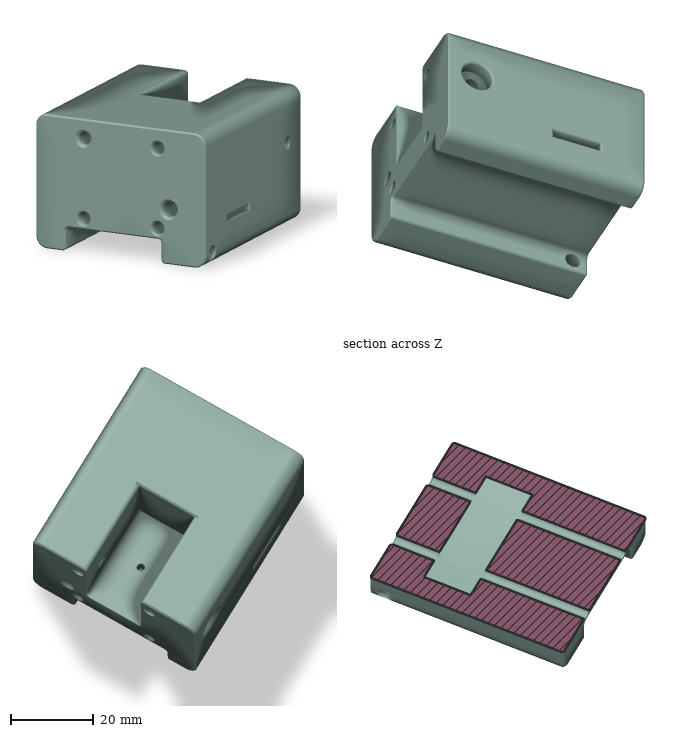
import cadquery as cq

WIDTH = 46.0
LENGTH = 52.3
HEIGHT = 33.8
CORNER_RADIUS = 3.05
EDGE_CHAMFER = 0.4

RAIL_WIDTH = 26.0
RAIL_DEPTH = 6.0
RAIL_CENTER_X = -2.0
RAIL_ROOF_RADIUS = 1.0
RAIL_MOUTH_RADIUS = 0.8

HINGE_WIDTH = 15.5
HINGE_LENGTH = 25.35
HINGE_DEPTH = 20.0
HINGE_RADIUS = 0.95
HINGE_END_CHAMFER = 0.4

PIN_Y = LENGTH / 2 - 7.75
PIN_Z = 20.9
PIN_DIAMETER = 3.4
PIN_RIM_RADIUS = 0.5
HEAD_DIAMETER = 8.0
HEAD_DEPTH = 3.5
HEAD_RIM_RADIUS = 0.65

FLOOR_HOLE_DIAMETER = 2.0
FLOOR_HOLE_Y = 13.25
FLOOR_HOLE_DEPTH = 4.0

PATTERN_PITCH = 20.1
PATTERN_CENTER_Z = 18.8
PATTERN_DIAMETER = 3.2
PATTERN_CHAMFER = 0.4
WIDE_CHAMFER = 0.7
LARGE_X = 13.1
LARGE_Z = 13.75
LARGE_DIAMETER = 4.0
LARGE_CHAMFER = 0.65

CLAMP_Y = -22.2
CLAMP_Z = 3.15
CLAMP_DIAMETER = 4.0

STRAP_WIDTH = 12.5
STRAP_THICKNESS = 2.1
STRAP_SAG = 2.2
STRAP_Y = -8.1
STRAP_Z = 10.0
STRAP_RIM_RADIUS = 0.65

LEFT = -WIDTH / 2
RIGHT = WIDTH / 2
FRONT = -LENGTH / 2
REAR = LENGTH / 2
SLOT_FLOOR_Z = HEIGHT - HINGE_DEPTH
HINGE_END_Y = REAR - HINGE_LENGTH


def box(x_range, y_range, z_range):
    """Box spanning the given ranges."""
    (x0, x1), (y0, y1), (z0, z1) = x_range, y_range, z_range
    return cq.Workplane("XY").box(x1 - x0, y1 - y0, z1 - z0, centered=False).translate((x0, y0, z0))


def block_with_rail_channel():
    """Rounded block with the rail channel and chamfered front and rear rims."""
    block = box((LEFT, RIGHT), (FRONT, REAR), (0, HEIGHT)).edges("|Y").fillet(CORNER_RADIUS)
    rail_left = RAIL_CENTER_X - RAIL_WIDTH / 2
    rail_right = RAIL_CENTER_X + RAIL_WIDTH / 2
    block = block.cut(box((rail_left, rail_right), (FRONT, REAR), (0, RAIL_DEPTH)))
    for rail_z, radius in ((RAIL_DEPTH, RAIL_ROOF_RADIUS), (0, RAIL_MOUTH_RADIUS)):
        for rail_x in (rail_left, rail_right):
            edge = cq.selectors.NearestToPointSelector((rail_x, 0, rail_z))
            block = block.edges("|Y").edges(edge).fillet(radius)
    return block.faces("<Y or >Y").chamfer(EDGE_CHAMFER)


def hinge_slot():
    """Slot with rounded floor corners, flared side rims and a chamfered end rim."""
    half = HINGE_WIDTH / 2
    flared_half = half + HINGE_RADIUS
    middle = HINGE_RADIUS * (1 - 0.5 ** 0.5)
    profile = (
        cq.Workplane("XZ", origin=(0, REAR, 0))
        .moveTo(-flared_half, HEIGHT)
        .threePointArc((-half - middle, HEIGHT - middle), (-half, HEIGHT - HINGE_RADIUS))
        .lineTo(-half, SLOT_FLOOR_Z + HINGE_RADIUS)
        .threePointArc((-half + middle, SLOT_FLOOR_Z + middle), (-half + HINGE_RADIUS, SLOT_FLOOR_Z))
        .lineTo(half - HINGE_RADIUS, SLOT_FLOOR_Z)
        .threePointArc((half - middle, SLOT_FLOOR_Z + middle), (half, SLOT_FLOOR_Z + HINGE_RADIUS))
        .lineTo(half, HEIGHT - HINGE_RADIUS)
        .threePointArc((half + middle, HEIGHT - middle), (flared_half, HEIGHT))
        .close()
    )
    slot = profile.extrude(HINGE_LENGTH)
    end_bevel = (
        cq.Workplane("YZ", origin=(-flared_half, 0, 0))
        .moveTo(HINGE_END_Y, HEIGHT)
        .lineTo(HINGE_END_Y - HINGE_END_CHAMFER, HEIGHT)
        .lineTo(HINGE_END_Y, HEIGHT - HINGE_END_CHAMFER)
        .close()
        .extrude(2 * flared_half)
    )
    return slot.union(end_bevel)


def cross_bore(y, z, diameter, x_start, x_end):
    """Cylinder along X between two positions."""
    return cq.Workplane("YZ", origin=(x_start, y, z)).circle(diameter / 2).extrude(x_end - x_start)


def front_bore(x, z, diameter, chamfer):
    """Through bore along Y with a chamfered mouth at the front."""
    bore = cq.Workplane("XZ", origin=(x, REAR, z)).circle(diameter / 2).extrude(LENGTH)
    mouth = cq.Solid.makeCone(
        diameter / 2 + chamfer, diameter / 2, chamfer, cq.Vector(x, FRONT, z), cq.Vector(0, 1, 0)
    )
    return bore.union(cq.Workplane(mouth))


def strap_passage():
    """Constant-thickness bow from the left side to the right side."""
    top = STRAP_Z + STRAP_THICKNESS / 2
    bottom = STRAP_Z - STRAP_THICKNESS / 2
    return (
        cq.Workplane("XZ", origin=(0, STRAP_Y + STRAP_WIDTH / 2, 0))
        .moveTo(LEFT, top)
        .threePointArc((0, top - STRAP_SAG), (RIGHT, top))
        .lineTo(RIGHT, bottom)
        .threePointArc((0, bottom - STRAP_SAG), (LEFT, bottom))
        .close()
        .extrude(STRAP_WIDTH)
    )


def round_rim(body, x, y, z, reach_y, reach_z, radius):
    """Fillet the edges of an opening lying in the plane at x, within reach of its centre."""
    margin = radius / 2
    near = cq.selectors.BoxSelector(
        (x - margin, y - reach_y - margin, z - reach_z - margin),
        (x + margin, y + reach_y + margin, z + reach_z + margin),
        boundingbox=True,
    )
    return body.edges(near).fillet(radius)


body = block_with_rail_channel().cut(hinge_slot())

body = body.cut(cross_bore(PIN_Y, PIN_Z, PIN_DIAMETER, LEFT, RIGHT))
body = body.cut(cross_bore(PIN_Y, PIN_Z, HEAD_DIAMETER, LEFT, LEFT + HEAD_DEPTH))
body = round_rim(body, LEFT, PIN_Y, PIN_Z, HEAD_DIAMETER / 2, HEAD_DIAMETER / 2, HEAD_RIM_RADIUS)
body = round_rim(body, HINGE_WIDTH / 2, PIN_Y, PIN_Z, PIN_DIAMETER / 2, PIN_DIAMETER / 2, PIN_RIM_RADIUS)

body = body.cut(strap_passage())
body = round_rim(body, LEFT, STRAP_Y, STRAP_Z, STRAP_WIDTH / 2, STRAP_THICKNESS / 2, STRAP_RIM_RADIUS)

for side in (-1, 1):
    for level in (-1, 1):
        mouth_chamfer = WIDE_CHAMFER if (side, level) == (-1, 1) else PATTERN_CHAMFER
        bore_x = side * PATTERN_PITCH / 2
        bore_z = PATTERN_CENTER_Z + level * PATTERN_PITCH / 2
        body = body.cut(front_bore(bore_x, bore_z, PATTERN_DIAMETER, mouth_chamfer))
body = body.cut(front_bore(LARGE_X, LARGE_Z, LARGE_DIAMETER, LARGE_CHAMFER))

body = body.cut(cross_bore(CLAMP_Y, CLAMP_Z, CLAMP_DIAMETER, RAIL_CENTER_X, RIGHT))
floor_hole = cq.Workplane("XY", origin=(0, FLOOR_HOLE_Y, SLOT_FLOOR_Z)).circle(FLOOR_HOLE_DIAMETER / 2)
body = body.cut(floor_hole.extrude(-FLOOR_HOLE_DEPTH))

result = body